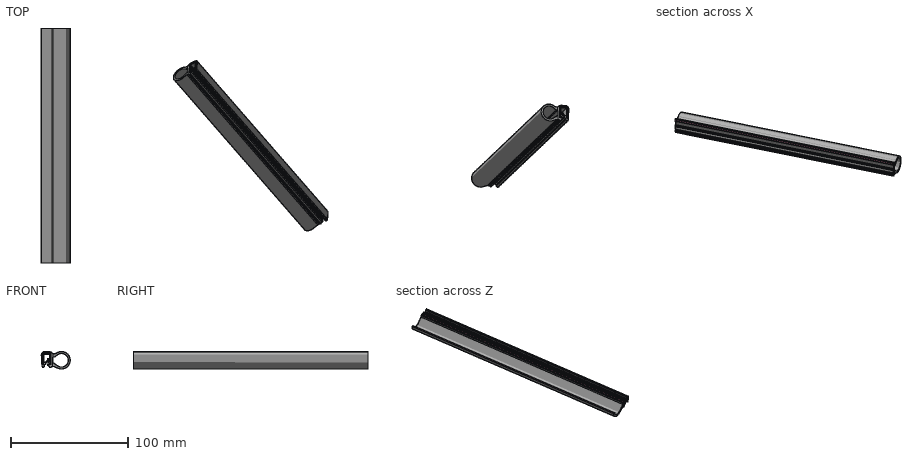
import cadquery as cq
import math

length = 200.0
width = 24.8
height = 15.0

bulb_radius = height / 2
bulb_wall = 1.8
bulb_x = width - bulb_radius
bulb_z = height / 2
bore_radius = bulb_radius - bulb_wall
arm_upper_root = 10.2
arm_lower_root = 5.8

carrier_top = height
foot_z = 2.5
foot_bottom = 1.2
foot_x = 0.5
joint_top_x = 10.2
joint_bottom_x = 9.5
neck_top = 13.2
neck_bottom = 2.0
corner_radius = 3.2
channel_left = 2.5
channel_right = 7.2
channel_top = 12.5

insert_thickness = 0.8
insert_outer_radius = 2.0
insert_left = 1.2
insert_right = 8.5
insert_top = 14.5
insert_left_end = 3.8
insert_right_end = 4.0


def on_circle(radius, degrees):
    """Point on a circle about the bulb axis."""
    angle = math.radians(degrees)
    return (bulb_x + radius * math.cos(angle), bulb_z + radius * math.sin(angle))


def on_joint(z):
    """Point at height z on the leaning face between carrier and bulb."""
    fraction = (z - neck_bottom) / (neck_top - neck_bottom)
    return (joint_bottom_x + fraction * (joint_top_x - joint_bottom_x), z)


def extrude_profile(profile):
    """Extrude a closed XZ profile along the full length, centred on Y."""
    return profile.close().extrude(length / 2, both=True)


def make_insert():
    """U-shaped metal strip of constant thickness with unequal legs."""
    inner_left = insert_left + insert_thickness
    inner_right = insert_right - insert_thickness
    inner_top = insert_top - insert_thickness
    strip = extrude_profile(
        cq.Workplane("XZ").polyline([
            (insert_left, insert_left_end),
            (insert_left, insert_top),
            (insert_right, insert_top),
            (insert_right, insert_right_end),
            (inner_right, insert_right_end),
            (inner_right, inner_top),
            (inner_left, inner_top),
            (inner_left, insert_left_end),
        ])
    )
    outer_corners = strip.faces(">Z").edges("|Y")
    strip = outer_corners.fillet(insert_outer_radius)
    inner_corners = strip.edges("|Y").edges(cq.selectors.BoxSelector(
        (inner_left - 0.2, -length, inner_top - 0.2),
        (inner_right + 0.2, length, inner_top + 0.2),
    ))
    return inner_corners.fillet(insert_outer_radius - insert_thickness)


def make_carrier(insert):
    """Rubber channel with gripping lips, recessed around the insert."""
    corner_mid = corner_radius * (1 - math.sqrt(0.5))
    profile = (
        cq.Workplane("XZ")
        .moveTo(foot_x, foot_z)
        .lineTo(0, carrier_top - corner_radius)
        .threePointArc((corner_mid, carrier_top - corner_mid), (corner_radius, carrier_top))
        .lineTo(6.2, carrier_top)
        .tangentArcPoint((8.5, 14.5), relative=False)
        .lineTo(*on_joint(neck_top))
        .lineTo(*on_joint(neck_bottom))
        .lineTo(8.5, 1.8)
        .lineTo(8.0, foot_bottom)
        .lineTo(7.5, foot_bottom)
        .lineTo(6.5, 2.5)
        .lineTo(5.5, 3.0)
        .lineTo(5.5, 4.2)
        .lineTo(6.8, 3.8)
        .lineTo(7.0, 4.5)
        .lineTo(5.8, 5.8)
        .lineTo(6.2, 6.5)
        .lineTo(6.8, 7.0)
        .lineTo(6.8, 8.5)
        .lineTo(channel_right, 9.0)
        .lineTo(channel_right, channel_top)
        .lineTo(channel_left, channel_top)
        .lineTo(channel_left, 6.0)
        .lineTo(3.5, 6.0)
        .lineTo(5.5, 7.8)
        .lineTo(5.5, 9.0)
        .lineTo(6.5, 9.0)
        .lineTo(6.5, 7.8)
        .lineTo(4.0, 5.0)
        .lineTo(4.0, 4.2)
        .lineTo(2.8, 3.5)
        .lineTo(2.5, 2.5)
        .lineTo(3.0, 2.5)
        .lineTo(1.8, foot_bottom)
        .lineTo(1.2, foot_bottom)
    )
    return extrude_profile(profile).cut(insert)


def make_bulb():
    """Round sealing bulb with an upper and a lower arm against the carrier."""
    profile = (
        cq.Workplane("XZ")
        .moveTo(*on_joint(neck_top))
        .threePointArc((11.8, 13.2), on_circle(bulb_radius, 122))
        .threePointArc(on_circle(bulb_radius, 0), on_circle(bulb_radius, 242))
        .lineTo(10.8, neck_bottom)
        .lineTo(*on_joint(neck_bottom))
        .lineTo(*on_joint(arm_lower_root))
        .lineTo(*on_circle(bore_radius, 232))
        .threePointArc(on_circle(bore_radius, 0), on_circle(bore_radius, 132))
        .lineTo(11.5, arm_upper_root)
        .lineTo(*on_joint(arm_upper_root))
    )
    return extrude_profile(profile)


insert = make_insert()
carrier = make_carrier(insert)
bulb = make_bulb()

result = cq.Compound.makeCompound([carrier.val(), insert.val(), bulb.val()])